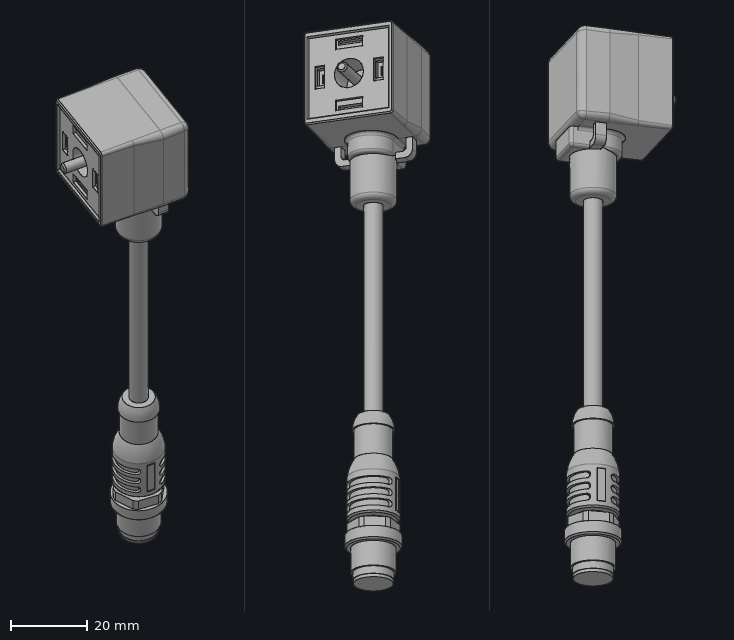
import cadquery as cq
import math

total_height = 151.0

parting_width = 27.3
back_width = 26.9
shoulder_width = 25.7
shoulder_y = -8.3
front_width = 25.2
flat_width = 23.5
back_y = 8.5
front_y = -18.1
housing_bottom = 124.5
front_inset = 0.2
back_edge_radius = 2.1
middle_z = (total_height + housing_bottom) / 2
housing_height = total_height - housing_bottom

rim_chamfer = 0.38
rim_slope = 0.38
panel_size = 22.5
panel_depth = 0.6
panel_y = front_y + panel_depth

screw_hole_diameter = 8.2
screw_hole_depth = 9.0
screw_diameter = 2.9
screw_tip_diameter = 2.0
screw_tip_y = -22.8

wide_slot_width = 7.7
wide_slot_height = 2.9
wide_slot_offset = 8.6
wide_pocket_width = 6.6
wide_pocket_height = 1.0
wide_pocket_shift = 0.53
tall_slot_width = 2.7
tall_slot_height = 6.3
tall_slot_offset = 8.3
tall_pocket_width = 2.0
tall_pocket_height = 4.8
tall_pocket_shift = 0.3
slit_width = 0.3
slit_height = 2.4
slot_depth = 0.9
pocket_depth = 1.5
slit_depth = 1.5

outlet_diameter = 12.4
outlet_bottom = 106.6
outlet_edge_radius = 1.5
block_bottom = 119.0
block_nose_y = -7.7
block_edge_radius = 0.9
root_radius = 0.9
root_overlap = 0.8
nose_radius = outlet_diameter / 2
nose_centre_y = block_nose_y + nose_radius
cable_diameter = 5.1

clip_width = 22.0
clip_thickness = 1.8
clip_depth = 3.0
clip_outer_radius = 2.1

tip_diameter = 10.5
tip_top = 0.9
spigot_diameter = 10.9
spigot_top = 3.0
sleeve_diameter = 12.0
ring_bottom = 10.0
ring_top = 13.6
ring_diameter = 15.1
ring_chamfer = 0.5
nut_top = 16.6
nut_round_diameter = 14.0
nut_flats = 12.8
nut_turn = 5.0
neck_diameter = 8.8
grip_bottom = 17.7
grip_top = 29.7
grip_diameter = 14.0
grip_chamfer = 0.5
shank_bottom = 34.9
shank_top = 43.2
shank_diameter = 10.3
collar_diameter = 11.2
collar_top = 47.3
collar_top_diameter = 8.8
arc_bulge = 0.38

groove_height = 2.0
groove_pitch = 3.2
groove_count = 3
groove_middle_z = 23.7
groove_depth = 0.8
groove_start = 2.9
side_panel_width = 2.3
side_panel_bottom = 19.5
side_panel_top = 28.7
side_panel_depth = 0.3
side_cutter_depth = 1.5


def housing_outline(width, inset):
    """Rounded rectangle across the housing, its top and bottom moved in by the inset."""
    corner = (width - flat_width) / 2
    outline = cq.Sketch().rect(width, housing_height - 2 * inset)
    return outline.vertices().fillet(corner)


def housing_back():
    """Back half, from the parting plane to the rounded back face."""
    wide = housing_outline(parting_width, 0)
    narrow = housing_outline(back_width, 0).moved(cq.Location(cq.Vector(0, 0, -back_y)))
    half = cq.Workplane("XZ", origin=(0, 0, middle_z)).placeSketch(wide, narrow).loft(ruled=True)
    return half.faces(">Y").edges().fillet(back_edge_radius)


def housing_front():
    """Front half, its sides bent at the shoulder between two tapers."""
    wide = housing_outline(parting_width, 0)
    shoulder_inset = front_inset * shoulder_y / front_y
    shoulder = housing_outline(shoulder_width, shoulder_inset)
    shoulder = shoulder.moved(cq.Location(cq.Vector(0, 0, -shoulder_y)))
    narrow = housing_outline(front_width, front_inset)
    narrow = narrow.moved(cq.Location(cq.Vector(0, 0, -front_y)))
    plane = cq.Workplane("XZ", origin=(0, 0, middle_z))
    half = plane.placeSketch(wide, shoulder, narrow).loft(ruled=True)
    return half.faces("<Y").edges().chamfer(rim_chamfer)


def face_cut(x, z, width, height, depth):
    """Rectangular cutter going into the front face from the panel."""
    middle_y = panel_y + depth / 2
    return cq.Workplane("XY").box(width, depth, height).translate((x, middle_y, z))


def front_cylinder(diameter, y_front, length):
    """Cylinder on the screw axis, running back from y_front."""
    plane = cq.Workplane("XZ", origin=(0, y_front, middle_z))
    return plane.circle(diameter / 2).extrude(-length)


def panel_recess():
    """Recess with sloping sides that leaves the sealing rim standing."""
    return (
        cq.Workplane("XZ", origin=(0, panel_y, middle_z))
        .rect(panel_size, panel_size)
        .workplane(offset=panel_depth)
        .rect(panel_size + 2 * rim_slope, panel_size + 2 * rim_slope)
        .loft(ruled=True)
    )


def wide_slot(direction):
    """Contact slot above (+1) or below (-1) the screw."""
    slot_z = middle_z + direction * wide_slot_offset
    pocket_z = slot_z + direction * wide_pocket_shift
    slot = face_cut(0, slot_z, wide_slot_width, wide_slot_height, slot_depth)
    pocket_end = slot_depth + pocket_depth
    pocket = face_cut(0, pocket_z, wide_pocket_width, wide_pocket_height, pocket_end)
    return slot.union(pocket)


def tall_slot(direction):
    """Contact slot right (+1) or left (-1) of the screw."""
    x = direction * tall_slot_offset
    pocket_z = middle_z + tall_pocket_shift
    pocket_end = slot_depth + pocket_depth
    slot = face_cut(x, middle_z, tall_slot_width, tall_slot_height, slot_depth)
    pocket = face_cut(x, pocket_z, tall_pocket_width, tall_pocket_height, pocket_end)
    slit = face_cut(x, pocket_z, slit_width, slit_height, pocket_end + slit_depth)
    return slot.union(pocket).union(slit)


def housing():
    """Tapered plug housing with its front face details."""
    body = housing_back().union(housing_front()).cut(panel_recess())
    for direction in (1, -1):
        body = body.cut(wide_slot(direction))
        body = body.cut(tall_slot(direction))
    body = body.cut(front_cylinder(screw_hole_diameter, panel_y, screw_hole_depth))
    screw_length = panel_y + screw_hole_depth - screw_tip_y
    screw = front_cylinder(screw_diameter, screw_tip_y, screw_length)
    screw = screw.faces("<Y").chamfer((screw_diameter - screw_tip_diameter) / 2)
    return body.union(screw)


def outlet_block():
    """Block under the housing with a half-round nose and rounded lower edges."""
    height = housing_bottom - block_bottom
    block = (
        cq.Workplane("XY", origin=(0, 0, block_bottom))
        .moveTo(nose_radius, back_y)
        .lineTo(-nose_radius, back_y)
        .lineTo(-nose_radius, nose_centre_y)
        .threePointArc((0, block_nose_y), (nose_radius, nose_centre_y))
        .close()
        .extrude(height)
    )
    block = block.edges("|Z and >Y").fillet(block_edge_radius)
    return block.faces("<Z").edges().fillet(block_edge_radius)


def flare_profile():
    """Half section of the flare, from the middle of the block out to its concave edge."""
    flare_radius = nose_radius + root_radius
    flare_top = housing_bottom + root_overlap
    bend = root_radius * (1 - math.cos(math.radians(45)))
    return (
        cq.Workplane("XZ", origin=(0, nose_centre_y, 0))
        .moveTo(0, housing_bottom - root_radius)
        .lineTo(nose_radius, housing_bottom - root_radius)
        .threePointArc((nose_radius + bend, housing_bottom - bend), (flare_radius, housing_bottom))
        .lineTo(flare_radius, flare_top)
        .lineTo(0, flare_top)
        .close()
    )


def flared_root():
    """Concave flare round the nose and sides of the block where it meets the housing."""
    nose = flare_profile().revolve(360, (0, 0, 0), (0, 1, 0))
    side = flare_profile().extrude(-(back_y - back_edge_radius - nose_centre_y))
    return nose.union(side).union(side.mirror("YZ"))


def clip():
    """U-shaped wire clip with rounded lower corners."""
    height = housing_bottom + root_overlap - block_bottom
    inner_height = height - clip_thickness
    bar = cq.Workplane("XY").box(clip_width, clip_depth, height, centered=(True, False, False))
    bar = bar.edges("|Y and <Z").fillet(clip_outer_radius)
    inner_width = clip_width - 2 * clip_thickness
    opening = cq.Workplane("XY", origin=(0, 0, clip_thickness))
    opening = opening.box(inner_width, clip_depth, inner_height, centered=(True, False, False))
    opening = opening.edges("|Y and <Z").fillet(clip_outer_radius - clip_thickness / 2)
    return bar.cut(opening).translate((0, 0, block_bottom))


def rod(diameter, bottom, top):
    """Cylinder on the cable axis."""
    return cq.Workplane("XY", origin=(0, 0, bottom)).circle(diameter / 2).extrude(top - bottom)


def shoulder_point(r_low, z_low, r_high, z_high):
    """Middle point of a shoulder that bows outward between two radii."""
    return ((r_low + r_high) / 2 + arc_bulge, (z_low + z_high) / 2)


def connector_core():
    """Turned body of the round connector, without the nut."""
    tip = tip_diameter / 2
    spigot = spigot_diameter / 2
    sleeve = sleeve_diameter / 2
    neck = neck_diameter / 2
    grip = grip_diameter / 2
    shank = shank_diameter / 2
    collar = collar_diameter / 2
    collar_end = collar_top_diameter / 2
    body = (
        cq.Workplane("XZ")
        .lineTo(tip, 0)
        .lineTo(tip, tip_top)
        .lineTo(spigot, tip_top)
        .lineTo(spigot, spigot_top)
        .lineTo(sleeve, spigot_top)
        .lineTo(sleeve, ring_top)
        .lineTo(neck, ring_top)
        .lineTo(neck, grip_bottom)
        .lineTo(grip - grip_chamfer, grip_bottom)
        .lineTo(grip, grip_bottom + grip_chamfer)
        .lineTo(grip, grip_top)
        .threePointArc(shoulder_point(grip, grip_top, shank, shank_bottom), (shank, shank_bottom))
        .lineTo(shank, shank_top)
        .lineTo(collar, shank_top)
        .threePointArc(
            shoulder_point(collar, shank_top, collar_end, collar_top), (collar_end, collar_top)
        )
        .lineTo(0, collar_top)
        .close()
        .revolve(360, (0, 0, 0), (0, 1, 0))
    )
    ring = rod(ring_diameter, ring_bottom, ring_top).faces("<Z").chamfer(ring_chamfer)
    return body.union(ring)


def nut():
    """Hexagon nut with its corners turned round."""
    height = nut_top - ring_top
    across_corners = nut_flats / math.cos(math.radians(30))
    base = cq.Workplane("XY", origin=(0, 0, ring_top))
    hexagon = base.polygon(6, across_corners).extrude(height)
    hexagon = hexagon.rotate((0, 0, 0), (0, 0, 1), -90 - nut_turn)
    return hexagon.intersect(rod(nut_round_diameter, ring_top, nut_top))


def grip_groove(z, direction):
    """Groove around the front (-1) or back (+1) of the grip, with round ends."""
    shell = rod(grip_diameter + 2 * groove_depth, z - groove_height, z + groove_height)
    shell = shell.cut(rod(grip_diameter - 2 * groove_depth, z - groove_height, z + groove_height))
    length = grip_diameter
    middle_y = direction * (groove_start + length / 2)
    outline = (
        cq.Workplane("YZ", origin=(0, middle_y, z))
        .slot2D(length, groove_height)
        .extrude(grip_diameter, both=True)
    )
    return shell.intersect(outline)


def side_panel(direction):
    """Shallow flat panel on the left (-1) or right (+1) of the grip."""
    height = side_panel_top - side_panel_bottom
    middle = side_panel_bottom + height / 2
    floor_x = grip_diameter / 2 - side_panel_depth
    box = cq.Workplane("XY").box(side_cutter_depth, side_panel_width, height)
    return box.translate((direction * (floor_x + side_cutter_depth / 2), 0, middle))


def connector():
    """Complete round connector."""
    body = connector_core().union(nut())
    for direction in (1, -1):
        for row in range(groove_count):
            z = groove_middle_z + (row - (groove_count - 1) / 2) * groove_pitch
            body = body.cut(grip_groove(z, direction))
        body = body.cut(side_panel(direction))
    return body


outlet = rod(outlet_diameter, outlet_bottom, housing_bottom)
outlet = outlet.faces("<Z").edges().fillet(outlet_edge_radius)
cable = rod(cable_diameter, collar_top, outlet_bottom)

result = housing().union(outlet_block()).union(flared_root()).union(clip()).union(outlet)
result = result.union(cable).union(connector())